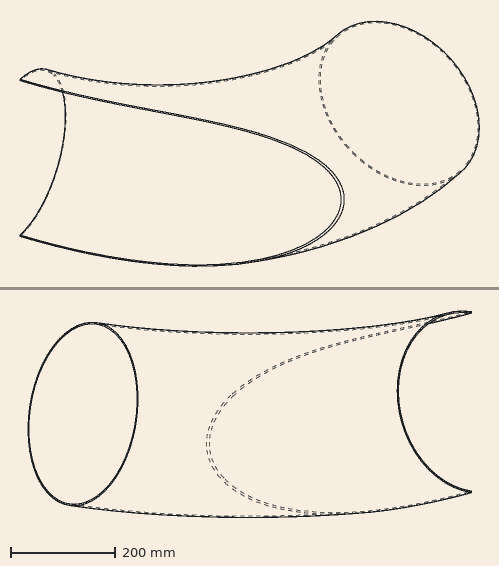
import cadquery as cq

outer_diameter = 355.6
wall = 3.0
bend_radius = 534.0
bend_angle = 90

outer_radius = outer_diameter / 2
bore_radius = outer_radius - wall


def bend(section_radius):
    """Solid quarter torus about the Z axis, from the -Y axis round to the +X axis."""
    axis_top = (-bend_radius, 1)
    axis_bottom = (-bend_radius, 0)
    return (
        cq.Workplane("XZ")
        .center(bend_radius, 0)
        .circle(section_radius)
        .revolve(bend_angle, axis_top, axis_bottom)
    )


def saddle_y(x):
    """Y of the saddle cut at x.

    An elbow and a straight pipe of equal diameter, whose axis is tangent to the
    elbow centreline at x = 0, meet along this parabola.
    """
    return x**2 / (4 * bend_radius) - bend_radius


def saddle_cutter():
    """Block on the outer side of the saddle parabola, through the full height."""
    reach = bend_radius + outer_diameter
    height = 2 * outer_diameter
    start = cq.Vector(0, saddle_y(0))
    end = cq.Vector(reach, saddle_y(reach))
    control = cq.Vector(reach / 2, saddle_y(0))
    far_corner = cq.Vector(reach, -reach)
    near_corner = cq.Vector(0, -reach)

    outline = cq.Wire.assembleEdges(
        [
            cq.Edge.makeBezier([start, control, end]),
            cq.Edge.makeLine(end, far_corner),
            cq.Edge.makeLine(far_corner, near_corner),
            cq.Edge.makeLine(near_corner, start),
        ]
    )
    block = cq.Solid.extrudeLinear(outline, [], cq.Vector(0, 0, height))
    return cq.Workplane(block).translate((0, 0, -height / 2))


elbow = bend(outer_radius).cut(bend(bore_radius))
result = elbow.cut(saddle_cutter())